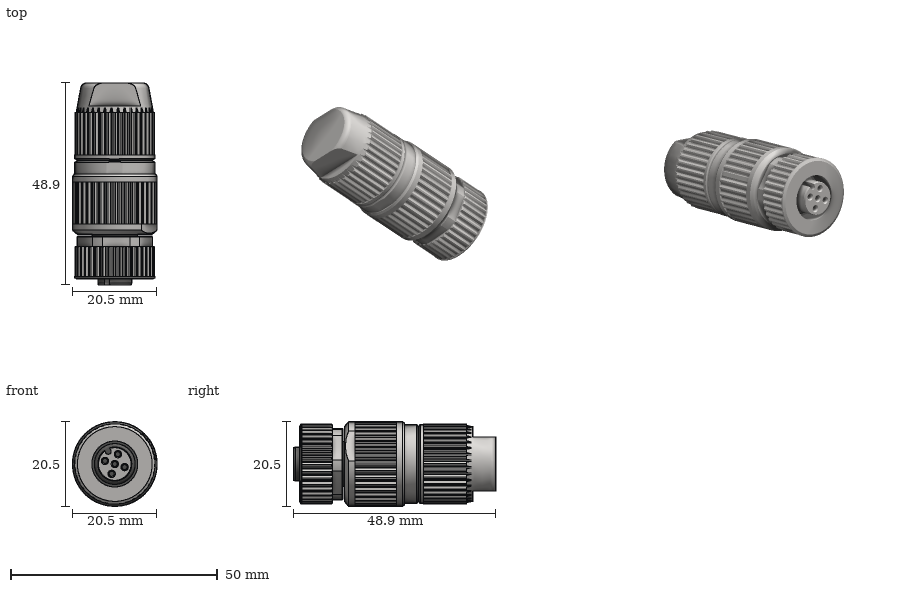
import cadquery as cq
import math


NUT_FRONT = 1.4
NUT_RIM_FRONT = 1.75
NUT_KNURL_START = 2.05
NUT_KNURL_END = 9.4
HEX_END = 11.9
BODY_FRONT = 12.25
BODY_CHAMFER_BREAK = 12.7
BODY_CHAMFER_END = 13.3
BODY_KNURL_START = 14.75
BODY_KNURL_END = 24.9
BODY_BEVEL_START = 26.3
COLLAR_START = 26.85
COLLAR_END = 29.7
NECK_START = 30.02
NECK_END = 30.3
CAP_COLLAR_START = 30.6
CAP_KNURL_START = 31.45
CAP_KNURL_END = 41.8
CAP_FLAT_START = 43.35
CAP_CONE_END = 47.7
CABLE_END = 48.9

BODY_R = 20.5 / 2
KNURL_R = 9.65
STEP_R = 9.15
BODY_FACE_R = 9.05
BODY_CHAMFER_BREAK_R = 9.65
BODY_REAR_R = 9.9
COLLAR_R = 9.75
NUT_RIM_R = 9.75
NUT_FACE_R = 9.05
NUT_BORE_R = 11.1 / 2
NECK_R = 11.0 / 2
CAP_CONE_BASE_R = 9.35
CAP_CONE_TIP_R = 8.25
CAP_FACE_R = 7.1

HEX_APOTHEM = 8.5
HEX_SIDES = 6
HEX_ANGLE = 27.5
HEX_CHAMFER = 0.2
FACET_APOTHEM = 9.4
FACET_ANGLE = HEX_ANGLE
COLLAR_FLAT_APOTHEM = 9.55
CAP_FLAT_APOTHEM = 6.55
TOP_AND_BOTTOM = (90, 270)

TOOTH_COUNT = 36
TOOTH_PITCH = 360 / TOOTH_COUNT
LAND_HALF_ANGLE = 1.1
FLOOR_HALF_ANGLE = 0.9
BODY_FLOOR_R = 9.75
NUT_KNURL_PHASE = -2.0
TOOTH_END_BEVEL = 0.2
SHAVED_TOOTH = 16
SHAVED_HEIGHT = 0.35

INSERT_R = 8.2 / 2
INSERT_BEVEL_LENGTH = 0.45
INSERT_BEVEL_DEPTH = 0.15
SHOULDER_R = 4.95
SHOULDER_FILLET = SHOULDER_R - INSERT_R
SHOULDER_Y = 5.85
BORE_FLOOR = SHOULDER_Y + SHOULDER_FILLET
KEY_R = 0.7
KEY_DISTANCE = 3.4
PIN_HOLE_R = 1.2 / 2
PIN_SINK_R = 1.75 / 2
PIN_HOLE_DEPTH = 4.9
PIN_CIRCLE_R = 2.5
OUTER_PINS = 4
PIN_ANGLE = 72.5
PIN_STEP = 360 / OUTER_PINS
KEY_ANGLE = PIN_ANGLE + PIN_STEP / 2


def polar(radius, angle):
    """X and Z of a point at a radius and an angle in degrees."""
    turn = math.radians(angle)
    return radius * math.cos(turn), radius * math.sin(turn)


def turned(points):
    """Solid of revolution about Y from (radius, y) points; the axis side is added."""
    outline = [(0, points[0][1]), *points, (0, points[-1][1])]
    return cq.Workplane("XY").polyline(outline).close().revolve(360, (0, 0), (0, 1))


def section(start):
    """Plane across the axis at y = start; extruding by a negative length goes toward +Y."""
    return cq.Workplane("XZ", origin=(0, start, 0))


def fluted_prism(start, end, land_r, floor_r, phase=0.0, shaved=None):
    """Prism with trapezoidal knurl teeth; one tooth may be shaved down."""
    half_pitch = TOOTH_PITCH / 2
    outline = []
    for tooth in range(TOOTH_COUNT):
        middle = phase + tooth * TOOTH_PITCH
        height = SHAVED_HEIGHT if tooth == shaved else 1.0
        root_half = half_pitch - FLOOR_HALF_ANGLE
        top_half = root_half + height * (LAND_HALF_ANGLE - root_half)
        top_r = floor_r + height * (land_r - floor_r)
        outline += [
            polar(floor_r, middle - root_half),
            polar(top_r, middle - top_half),
            polar(top_r, middle + top_half),
            polar(floor_r, middle + root_half),
        ]
    return section(start).polyline(outline).close().extrude(start - end)


def outside_flat(start, end, apothem, angle):
    """Block of everything beyond a flat whose outward normal points at an angle."""
    size = 2 * BODY_R
    block = cq.Workplane("XY").box(size, end - start, 2 * size)
    block = block.translate((apothem + size / 2, (start + end) / 2, 0))
    return block.rotate((0, 0, 0), (0, 1, 0), -angle)


def coupling_nut():
    """Knurled nut with a hexagon behind it, bored around the insert."""
    rim = turned([
        (NUT_FACE_R, NUT_FRONT),
        (NUT_RIM_R, NUT_RIM_FRONT),
        (NUT_RIM_R, NUT_KNURL_START),
    ])
    knurl = fluted_prism(NUT_KNURL_START, NUT_KNURL_END, KNURL_R, STEP_R, NUT_KNURL_PHASE)
    knurl = knurl.intersect(turned([
        (KNURL_R, NUT_KNURL_START),
        (KNURL_R, NUT_KNURL_END - TOOTH_END_BEVEL),
        (KNURL_R - TOOTH_END_BEVEL, NUT_KNURL_END),
    ]))
    hexagon = section(NUT_KNURL_END).circle(STEP_R).extrude(NUT_KNURL_END - HEX_END)
    for side in range(HEX_SIDES):
        angle = HEX_ANGLE + side * 360 / HEX_SIDES
        hexagon = hexagon.cut(outside_flat(NUT_KNURL_END, HEX_END, HEX_APOTHEM, angle))
    hexagon = hexagon.faces(">Y").edges().chamfer(HEX_CHAMFER)
    bore = section(NUT_FRONT).circle(NUT_BORE_R).extrude(NUT_FRONT - BORE_FLOOR)
    return rim.union(knurl).union(hexagon).cut(bore)


def keyway():
    """Round-bottomed slot along the insert, open to its outside."""
    floor = section(0).center(KEY_DISTANCE, 0).circle(KEY_R).extrude(-SHOULDER_Y)
    mouth = section(0).center(KEY_DISTANCE + KEY_R, 0).rect(2 * KEY_R, 2 * KEY_R).extrude(-SHOULDER_Y)
    return floor.union(mouth).rotate((0, 0, 0), (0, 1, 0), -KEY_ANGLE)


def pin_hole():
    """Countersunk contact hole, placed on the axis."""
    return turned([
        (PIN_SINK_R, 0),
        (PIN_HOLE_R, PIN_SINK_R - PIN_HOLE_R),
        (PIN_HOLE_R, PIN_HOLE_DEPTH),
    ])


def insert():
    """Socket insert on a rounded shoulder, with its keyway and contact holes."""
    fillet_mid = SHOULDER_FILLET * math.sqrt(0.5)
    core = (
        cq.Workplane("XY")
        .moveTo(0, 0)
        .lineTo(INSERT_R - INSERT_BEVEL_DEPTH, 0)
        .lineTo(INSERT_R, INSERT_BEVEL_LENGTH)
        .lineTo(INSERT_R, SHOULDER_Y)
        .threePointArc((INSERT_R + fillet_mid, BORE_FLOOR - fillet_mid), (SHOULDER_R, BORE_FLOOR))
        .lineTo(SHOULDER_R, NUT_KNURL_END)
        .lineTo(0, NUT_KNURL_END)
        .close()
        .revolve(360, (0, 0), (0, 1))
    )
    places = [(0, 0)] + [polar(PIN_CIRCLE_R, PIN_ANGLE + PIN_STEP * pin) for pin in range(OUTER_PINS)]
    core = core.cut(keyway())
    for x, z in places:
        core = core.cut(pin_hole().translate((x, 0, z)))
    return core


def body():
    """Largest knurled sleeve, with one facet on its front rim, and the neck joining it to the nut."""
    front = turned([
        (BODY_FACE_R, BODY_FRONT),
        (BODY_CHAMFER_BREAK_R, BODY_CHAMFER_BREAK),
        (BODY_R, BODY_CHAMFER_END),
        (BODY_R, BODY_KNURL_START),
    ])
    front = front.cut(outside_flat(BODY_FRONT, BODY_KNURL_START, FACET_APOTHEM, FACET_ANGLE))
    knurl = fluted_prism(BODY_KNURL_START, BODY_KNURL_END, BODY_R, BODY_FLOOR_R, shaved=SHAVED_TOOTH)
    rear = turned([
        (BODY_R, BODY_KNURL_END),
        (BODY_R, BODY_BEVEL_START),
        (BODY_REAR_R, COLLAR_START),
    ])
    neck = section(NUT_KNURL_END).circle(NECK_R).extrude(NUT_KNURL_END - BODY_FRONT)
    return neck.union(front).union(knurl).union(rear)


def collars():
    """Two flatted collars with a grooved neck between them."""
    ring = turned([
        (COLLAR_R, COLLAR_START),
        (COLLAR_R, COLLAR_END),
        (STEP_R, NECK_START),
        (STEP_R, NECK_END),
        (COLLAR_R, CAP_COLLAR_START),
        (COLLAR_R, CAP_KNURL_START),
    ])
    for angle in TOP_AND_BOTTOM:
        ring = ring.cut(outside_flat(COLLAR_START, CAP_KNURL_START, COLLAR_FLAT_APOTHEM, angle))
    return ring


def cap():
    """Knurled clamping cap whose flutes run out into a cone with two wrench flats."""
    shell = (
        cq.Workplane("XY")
        .moveTo(0, CAP_KNURL_START)
        .lineTo(KNURL_R, CAP_KNURL_START)
        .lineTo(KNURL_R, CAP_KNURL_END)
        .lineTo(CAP_CONE_BASE_R, CAP_KNURL_END)
        .lineTo(CAP_CONE_TIP_R, CAP_CONE_END)
        .tangentArcPoint((CAP_FACE_R, CABLE_END), relative=False)
        .lineTo(0, CABLE_END)
        .close()
        .revolve(360, (0, 0), (0, 1))
    )
    shell = shell.intersect(fluted_prism(CAP_KNURL_START, CABLE_END, KNURL_R, STEP_R))
    for angle in TOP_AND_BOTTOM:
        shell = shell.cut(outside_flat(CAP_FLAT_START, CABLE_END, CAP_FLAT_APOTHEM, angle))
    return shell


result = coupling_nut().union(insert()).union(body()).union(collars()).union(cap())